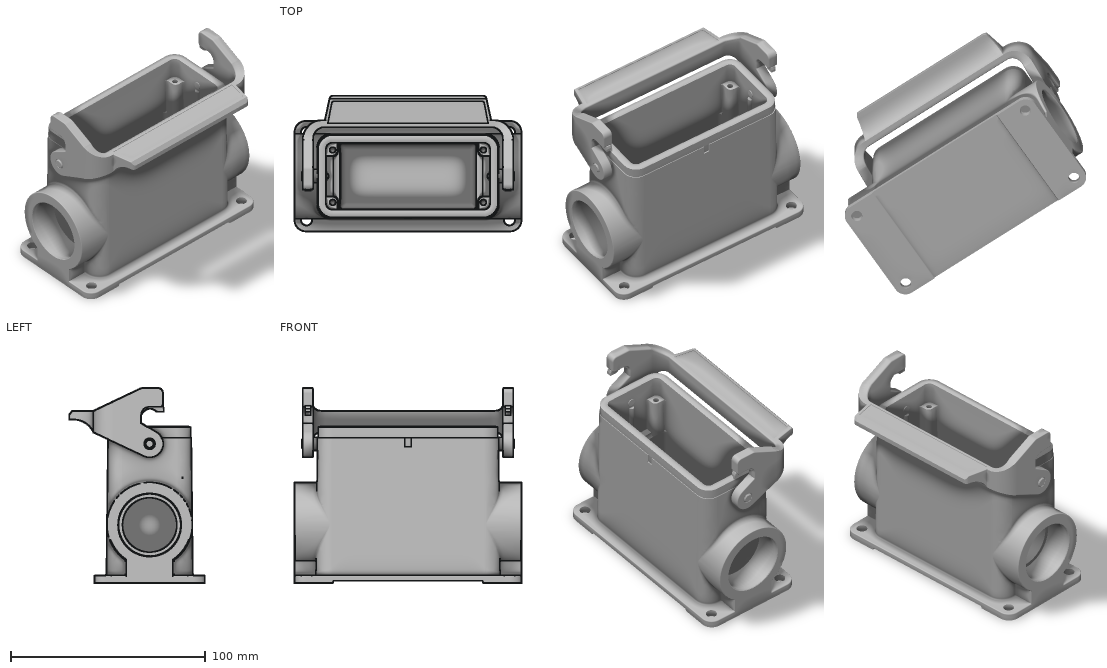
import cadquery as cq
import math

SMALL = 0.05
ROOT_FILLET = 0.8

BASE_LENGTH = 117.0
BASE_WIDTH = 57.0
BASE_HEIGHT = 4.0
BASE_CORNER_RADIUS = 6.0
BASE_EDGE_FILLET = 0.5
MOUNT_HOLE_DIAMETER = 5.6
MOUNT_HOLE_X = 52.25
MOUNT_HOLE_Y = 22.5
RELIEF_HEIGHT = 1.2
RELIEF_TOP_LENGTH = 76.6
RELIEF_BOTTOM_LENGTH = 77.6

BOX_LENGTH = 94.8
BOX_WIDTH = 44.6
BOX_CORNER_RADIUS = 8.0
BOX_DRAFT = 0.645
BOX_TOP = 75.0
RIM_LENGTH = 92.6
RIM_WIDTH = 42.4
RIM_CORNER_RADIUS = 7.3
RIM_THICKNESS = 4.0
RIM_TOP = 80.8
RIM_CROWN = 0.5
NOTCH_WIDTH = 3.2
NOTCH_BOTTOM = 70.3
NOTCH_DEPTH = 0.5

FLOOR_TOP = 8.0
FLOOR_FILLET = 2.8
LOWER_LENGTH = 69.0
LOWER_WIDTH = 32.8
LOWER_CORNER_RADIUS = 1.0
LOWER_DRAFT = -1.0
LEDGE_TOP = 48.4
LEDGE_FILLET = 3.3
UPPER_DRAFT = 0.4
POST_TOP = 68.5
POST_INNER_X = 36.4
POST_INNER_Y = 10.6
POST_DRAFT = 1.0
POST_CORNER_RADIUS = 2.7
POST_ROOT_FILLET = 1.2
POST_HOLE_X = 38.8
POST_HOLE_Y = 13.5
POST_HOLE_DIAMETER = 3.0
POST_HOLE_DEPTH = 12.0
RIB_DIAMETER = 3.0

ENTRY_AXIS_Z = 30.0
ENTRY_RADIUS = 21.95
ENTRY_EDGE_FILLET = 0.4
ENTRY_BORE_DIAMETER = 32.0
ENTRY_BORE_DEPTH = 15.0
ENTRY_BORE_CHAMFER = 0.3
OPENING_DIAMETER = 28.0
FOOT_WIDTH = 24.0

PIVOT_Z = 71.8
COLLAR_DIAMETER = 7.0
PIN_DIAMETER = 5.1
PIN_END_DIAMETER = 4.0
PIN_END_X = 54.7
PIN_INSIDE_DIAMETER = 4.0
PIN_INSIDE_X = 41.9
PIVOT_HOLE_DIAMETER = 5.6

LEVER_OUTER_X = 54.2
LEVER_INNER_X = 48.9
LEVER_BACK_Y = 28.9
LEVER_INNER_Y = 25.3
LEVER_OUTER_RADIUS = 10.1
LEVER_INNER_RADIUS = 6.2
CORNER_SECTIONS = 7
LEVER_EDGE_FILLET = 0.4
LEVER_INNER_EDGE_FILLET = 0.7
LEVER_TOP = 100.6
LEVER_NOSE_Y = -6.9
LEVER_PEAK_Y = 4.1
LEVER_PEAK_RADIUS = 3.2
LEVER_NOSE_TOP_RADIUS = 2.7
LEVER_NOSE_BOTTOM_RADIUS = 1.5
LEVER_EYE_RADIUS = 7.0
CROSSBAR_TOP = 88.8
CROSSBAR_BOTTOM = 77.6
SLOT_TOP = 90.8
SLOT_BACK_Y = 4.4
SLOT_BACK_BOTTOM = 82.5
SLOT_RADIUS = 4.2
HOOK_WIDTH = 2.7
HOOK_TIP_Y = -7.4
HOOK_TOP = 91.3
HOOK_BOTTOM = 88.3
HOOK_ROOF = 89.8

TAB_END_Y = 41.5
TAB_TIP_TOP_Y = 39.8
TAB_TIP_BOTTOM = 84.2
TAB_TIP_SLOPE_BOTTOM = 86.7
TAB_ARC_Y = 34.6
TAB_ARC_Z = 83.3
TAB_ROOT_LENGTH = 86.8
TAB_END_LENGTH = 80.2
TAB_CORNER_RADIUS = 2.0
TAB_EDGE_FILLET = 0.4
PANEL_START_Y = 27.2
PANEL_END_Y = 38.6
PANEL_MARGIN = 2.1
PANEL_CORNER_RADIUS = 1.2
PANEL_DEPTH = 0.3

SIDES = (-1, 1)


def rounded_block(length, width, radius, bottom, height, draft=0.0):
    """Upright block centred on Z with rounded corners, tapering inward by `draft` degrees."""
    outline = cq.Sketch().rect(length, width).vertices().fillet(radius)
    return cq.Workplane("XY").workplane(offset=bottom).placeSketch(outline).extrude(height, taper=draft)


def x_cylinder(diameter, x_start, x_end, axis_z):
    """Cylinder parallel to X, on the plane Y = 0."""
    plane = cq.Workplane("YZ", origin=(x_start, 0, axis_z))
    return plane.circle(diameter / 2).extrude(x_end - x_start)


def y_centred_block(x_start, x_end, width, bottom, top):
    size = (abs(x_end - x_start), width, top - bottom)
    centre = ((x_start + x_end) / 2, 0, (bottom + top) / 2)
    return cq.Workplane("XY").box(*size).translate(centre)


def eye_tangent_point(y, z, turn):
    """Point where a line from (y, z) touches the lever eye; `turn` picks the side of the eye."""
    dy = y
    dz = z - PIVOT_Z
    angle = math.atan2(dz, dy) + turn * math.acos(LEVER_EYE_RADIUS / math.hypot(dy, dz))
    return LEVER_EYE_RADIUS * math.cos(angle), PIVOT_Z + LEVER_EYE_RADIUS * math.sin(angle)


def base_flange():
    flange = rounded_block(BASE_LENGTH, BASE_WIDTH, BASE_CORNER_RADIUS, 0, BASE_HEIGHT)
    return flange.faces(">Z").edges().fillet(BASE_EDGE_FILLET)


def mounting_holes():
    places = [(sx * MOUNT_HOLE_X, sy * MOUNT_HOLE_Y) for sx in SIDES for sy in SIDES]
    return cq.Workplane("XY").pushPoints(places).circle(MOUNT_HOLE_DIAMETER / 2).extrude(BASE_HEIGHT)


def underside_relief():
    outline = cq.Workplane("XZ", origin=(0, BASE_WIDTH / 2, 0)).polyline([
        (-RELIEF_BOTTOM_LENGTH / 2, 0),
        (RELIEF_BOTTOM_LENGTH / 2, 0),
        (RELIEF_TOP_LENGTH / 2, RELIEF_HEIGHT),
        (-RELIEF_TOP_LENGTH / 2, RELIEF_HEIGHT),
    ])
    return outline.close().extrude(BASE_WIDTH)


def rim():
    """Upright band around the opening, with a slightly crowned top."""
    shoulder = RIM_TOP - RIM_CROWN
    inset = RIM_THICKNESS / 2
    path = (
        cq.Workplane("XY")
        .workplane(offset=BOX_TOP)
        .placeSketch(
            cq.Sketch().rect(RIM_LENGTH - RIM_THICKNESS, RIM_WIDTH - RIM_THICKNESS)
            .vertices().fillet(RIM_CORNER_RADIUS - inset)
        )
        .extrude(1)
        .faces("<Z").wires()
    )
    outer = RIM_WIDTH / 2
    section = (
        cq.Workplane("YZ")
        .moveTo(-outer, BOX_TOP)
        .lineTo(-outer, shoulder)
        .threePointArc((-outer + inset, RIM_TOP), (-outer + RIM_THICKNESS, shoulder))
        .lineTo(-outer + RIM_THICKNESS, BOX_TOP)
        .close()
    )
    return section.sweep(path, transition="round")


def cable_entry(side):
    """Round hub standing on a foot that reaches down to the flange."""
    face = side * BASE_LENGTH / 2
    root = side * (BOX_LENGTH / 2 - BOX_CORNER_RADIUS)
    hub = x_cylinder(2 * ENTRY_RADIUS, root, face, ENTRY_AXIS_Z)
    hub = hub.faces(">X" if side > 0 else "<X").edges().fillet(ENTRY_EDGE_FILLET)
    foot = y_centred_block(root, face, FOOT_WIDTH, 0, ENTRY_AXIS_Z - ENTRY_RADIUS / 2)
    return hub.union(foot)


def upper_cavity():
    length = RIM_LENGTH - 2 * RIM_THICKNESS
    width = RIM_WIDTH - 2 * RIM_THICKNESS
    radius = RIM_CORNER_RADIUS - RIM_THICKNESS
    mouth = rounded_block(length, width, radius, BOX_TOP, RIM_TOP - BOX_TOP)
    depth = BOX_TOP - LEDGE_TOP
    drafted = rounded_block(length, width, radius, 0, depth, UPPER_DRAFT)
    return mouth.union(drafted.rotate((0, 0, 0), (1, 0, 0), 180).translate((0, 0, BOX_TOP)))


def lower_cavity():
    depth = LEDGE_TOP - FLOOR_TOP
    pocket = rounded_block(LOWER_LENGTH, LOWER_WIDTH, LOWER_CORNER_RADIUS, FLOOR_TOP, depth, LOWER_DRAFT)
    return pocket.faces("<Z").edges().fillet(FLOOR_FILLET)


def ledge_rounding(side):
    """Material removed to round the inner edge of the ledge at one end."""
    edge_x = LOWER_LENGTH / 2 + depth_gain()
    corner = cq.Workplane("XZ", origin=(0, LOWER_WIDTH / 2, 0))
    corner = (
        corner.moveTo(side * edge_x, LEDGE_TOP)
        .lineTo(side * (edge_x + LEDGE_FILLET), LEDGE_TOP)
        .radiusArc((side * edge_x, LEDGE_TOP - LEDGE_FILLET), side * LEDGE_FILLET)
        .close()
    )
    return corner.extrude(LOWER_WIDTH)


def depth_gain():
    """How far the draft widens the lower cavity, per side, from floor to ledge."""
    return (LEDGE_TOP - FLOOR_TOP) * math.tan(math.radians(-LOWER_DRAFT))


def screw_post(side_x, side_y):
    """Drafted corner post, set into both walls, with a blind cone-bottomed screw hole."""
    bottom = LEDGE_TOP - LEDGE_FILLET
    height = POST_TOP - bottom
    spread = height * math.tan(math.radians(POST_DRAFT))
    outer_x = (RIM_LENGTH - RIM_THICKNESS) / 2
    outer_y = (RIM_WIDTH - RIM_THICKNESS) / 2
    post = rounded_block(
        outer_x - POST_INNER_X + 2 * spread, outer_y - POST_INNER_Y + 2 * spread,
        POST_CORNER_RADIUS, bottom, height, POST_DRAFT,
    )
    centre_x = side_x * (outer_x + POST_INNER_X) / 2
    centre_y = side_y * (outer_y + POST_INNER_Y) / 2
    radius = POST_HOLE_DIAMETER / 2
    hole = (
        cq.Workplane("XZ", origin=(side_x * POST_HOLE_X, side_y * POST_HOLE_Y, POST_TOP))
        .polyline([(0, 0), (radius, 0), (radius, -POST_HOLE_DEPTH), (0, -POST_HOLE_DEPTH - radius)])
        .close().revolve(360, (0, 0, 0), (0, 1, 0))
    )
    return post.translate((centre_x, centre_y, 0)).cut(hole)


def root_flare(corner_x, corner_y, along_x, along_y):
    """Concave upright strip in a wall corner; `along_x` and `along_y` point into the cavity."""
    bottom = LEDGE_TOP - LEDGE_FILLET
    size = 2 * POST_ROOT_FILLET
    block = cq.Workplane("XY", origin=(corner_x, corner_y, bottom)).rect(size, size)
    centre = (corner_x + along_x * POST_ROOT_FILLET, corner_y + along_y * POST_ROOT_FILLET, bottom)
    round_cut = cq.Workplane("XY", origin=centre).circle(POST_ROOT_FILLET)
    height = POST_TOP - bottom
    return block.extrude(height).cut(round_cut.extrude(height))


def end_rib(side):
    """Half-round upright rib on the inner end wall, below the pivot."""
    wall_x = side * (RIM_LENGTH / 2 - RIM_THICKNESS)
    foot = cq.Workplane("XY", origin=(wall_x, 0, LEDGE_TOP))
    return foot.circle(RIB_DIAMETER / 2).extrude(POST_TOP - LEDGE_TOP)


def pivot_pin(side):
    """Collar, journal and conical end for the lever, with a disc left on the inner wall."""
    collar_start = RIM_LENGTH / 2 - RIM_THICKNESS / 2
    disc = x_cylinder(PIN_INSIDE_DIAMETER, PIN_INSIDE_X, collar_start, PIVOT_Z)
    collar = x_cylinder(COLLAR_DIAMETER, collar_start, LEVER_INNER_X, PIVOT_Z)
    journal = x_cylinder(PIN_DIAMETER, collar_start, PIN_END_X, PIVOT_Z)
    journal = journal.faces(">X").chamfer((PIN_DIAMETER - PIN_END_DIAMETER) / 2)
    pin = disc.union(collar).union(journal)
    return pin if side > 0 else pin.mirror("YZ")


def witness_notch():
    """Shallow notch in the front wall, just under the rim."""
    wall_y = -BOX_WIDTH / 2 + (BOX_TOP - BASE_HEIGHT) * math.tan(math.radians(BOX_DRAFT))
    return cq.Workplane("XY", origin=(0, wall_y, NOTCH_BOTTOM)).box(
        NOTCH_WIDTH, 2 * NOTCH_DEPTH, BOX_TOP - NOTCH_BOTTOM, centered=(True, True, False)
    )


def is_entry_root(edge):
    """True for the edges where the entries and their feet grow out of the box."""
    centre = edge.Center()
    reach = BOX_LENGTH / 2 - BOX_CORNER_RADIUS / 2
    near_wall = reach < abs(centre.x) < BOX_LENGTH / 2 + ROOT_FILLET
    below_rim = BASE_HEIGHT + BASE_EDGE_FILLET < centre.z < BOX_TOP - SMALL
    on_foot = abs(abs(centre.y) - FOOT_WIDTH / 2) < SMALL
    return near_wall and below_rim and (on_foot or edge.geomType() != "LINE")


def is_box_root(edge):
    """True for the edges where the box stands on the flange."""
    bounds = edge.BoundingBox()
    level = abs(bounds.zmin - BASE_HEIGHT) < SMALL and abs(bounds.zmax - BASE_HEIGHT) < SMALL
    inside_x = max(-bounds.xmin, bounds.xmax) < BOX_LENGTH / 2 + SMALL
    inside_y = max(-bounds.ymin, bounds.ymax) < BOX_WIDTH / 2 + SMALL
    return level and inside_x and inside_y


def outer_body():
    """Solid outside form: drafted box, cable entries and flange."""
    body = rounded_block(
        BOX_LENGTH, BOX_WIDTH, BOX_CORNER_RADIUS, BASE_HEIGHT, BOX_TOP - BASE_HEIGHT, BOX_DRAFT
    )
    for side in SIDES:
        body = body.union(cable_entry(side))
    body = body.union(base_flange())
    return body.edges().filter(lambda edge: is_entry_root(edge) or is_box_root(edge)).fillet(ROOT_FILLET)


def build_housing():
    cavity_x = RIM_LENGTH / 2 - RIM_THICKNESS
    cavity_y = RIM_WIDTH / 2 - RIM_THICKNESS
    body = outer_body()
    body = body.cut(upper_cavity()).union(rim()).cut(lower_cavity())
    for side in SIDES:
        body = body.cut(ledge_rounding(side))
        for side_y in SIDES:
            body = body.union(screw_post(side, side_y))
            for flare_x, flare_y in ((POST_INNER_X, cavity_y), (cavity_x, POST_INNER_Y)):
                body = body.union(root_flare(side * flare_x, side_y * flare_y, -side, -side_y))
    for side in SIDES:
        body = body.union(end_rib(side)).union(pivot_pin(side))
        face = side * BASE_LENGTH / 2
        bore_end = face - side * ENTRY_BORE_DEPTH
        body = body.cut(x_cylinder(ENTRY_BORE_DIAMETER, face, bore_end, ENTRY_AXIS_Z))
        mouth = cq.selectors.RadiusNthSelector(0)
        body = body.faces(">X" if side > 0 else "<X").edges(mouth).chamfer(ENTRY_BORE_CHAMFER)
    opening_end = -LOWER_LENGTH / 2 + LOWER_CORNER_RADIUS
    body = body.cut(x_cylinder(OPENING_DIAMETER, -BASE_LENGTH / 2, opening_end, ENTRY_AXIS_Z))
    return body.cut(underside_relief()).cut(mounting_holes()).cut(witness_notch())


def lever_side_outline():
    """Outline of the lever seen along X, as a solid spanning the lever's full length."""
    upper_y, upper_z = eye_tangent_point(SLOT_BACK_Y, SLOT_BACK_BOTTOM, 1)
    lower_y, lower_z = eye_tangent_point(LEVER_BACK_Y, CROSSBAR_BOTTOM, -1)
    profile = (
        cq.Workplane("YZ", origin=(-LEVER_OUTER_X, 0, 0))
        .moveTo(LEVER_BACK_Y, CROSSBAR_BOTTOM)
        .lineTo(LEVER_BACK_Y, CROSSBAR_TOP)
        .lineTo(LEVER_PEAK_Y, LEVER_TOP)
        .lineTo(LEVER_NOSE_Y + LEVER_NOSE_TOP_RADIUS, LEVER_TOP)
        .radiusArc((LEVER_NOSE_Y, LEVER_TOP - LEVER_NOSE_TOP_RADIUS), -LEVER_NOSE_TOP_RADIUS)
        .lineTo(LEVER_NOSE_Y, SLOT_TOP + LEVER_NOSE_BOTTOM_RADIUS)
        .radiusArc((LEVER_NOSE_Y + LEVER_NOSE_BOTTOM_RADIUS, SLOT_TOP), -LEVER_NOSE_BOTTOM_RADIUS)
        .lineTo(SLOT_BACK_Y - SLOT_RADIUS, SLOT_TOP)
        .radiusArc((SLOT_BACK_Y, SLOT_TOP - SLOT_RADIUS), SLOT_RADIUS)
        .lineTo(SLOT_BACK_Y, SLOT_BACK_BOTTOM)
        .lineTo(upper_y, upper_z)
        .threePointArc((-LEVER_EYE_RADIUS, PIVOT_Z), (lower_y, lower_z))
        .close()
    )
    peak = cq.selectors.NearestToPointSelector((0, LEVER_PEAK_Y, LEVER_TOP))
    return profile.extrude(2 * LEVER_OUTER_X).edges("|X").edges(peak).fillet(LEVER_PEAK_RADIUS)


def lever_plan(half_length, back_y, radius):
    """Tall block open toward -Y, with its two back corners rounded."""
    front_y = -2 * LEVER_EYE_RADIUS
    size = (2 * half_length, back_y - front_y, LEVER_TOP)
    block = cq.Workplane("XY").box(*size, centered=(True, False, False)).translate((0, front_y, 0))
    return block.edges("|Z and >Y").fillet(radius)


def slope_height(y, start, end):
    """Height at `y` on the straight line through the (y, z) points `start` and `end`."""
    return start[1] + (end[1] - start[1]) * (y - start[0]) / (end[0] - start[0])


def lever_corner(side):
    """Wedge around one back corner, level along each radius and falling from arm to crossbar."""
    centre_x = LEVER_OUTER_X - LEVER_OUTER_RADIUS
    centre_y = LEVER_BACK_Y - LEVER_OUTER_RADIUS
    near = 1.0
    far = 2 * LEVER_OUTER_RADIUS
    top_line = (LEVER_PEAK_Y, LEVER_TOP), (LEVER_BACK_Y, CROSSBAR_TOP)
    eye_point = eye_tangent_point(LEVER_BACK_Y, CROSSBAR_BOTTOM, -1)
    bottom_line = eye_point, (LEVER_BACK_Y, CROSSBAR_BOTTOM)
    sections = []
    for step in range(CORNER_SECTIONS):
        angle = math.pi / 2 * step / (CORNER_SECTIONS - 1)
        along_x = math.cos(angle)
        along_y = math.sin(angle)
        outer_y = centre_y + LEVER_OUTER_RADIUS * along_y
        top = slope_height(outer_y, *top_line)
        bottom = slope_height(outer_y, *bottom_line)
        corners = [(near, bottom), (far, bottom), (far, top), (near, top)]
        points = [
            cq.Vector(side * (centre_x + radius * along_x), centre_y + radius * along_y, z)
            for radius, z in corners
        ]
        sections.append(cq.Wire.makePolygon(points, close=True))
    return cq.Workplane(cq.Solid.makeLoft(sections))


def lever_bow():
    """Two arms joined by a crossbar through rounded corners."""
    corner_x = LEVER_OUTER_X - LEVER_OUTER_RADIUS
    corner_y = LEVER_BACK_Y - LEVER_OUTER_RADIUS
    arm_zone = cq.Workplane("XY").box(
        2 * LEVER_OUTER_X, 2 * corner_y, LEVER_TOP, centered=(True, True, False)
    )
    solid = lever_side_outline().intersect(arm_zone)
    crossbar = cq.Workplane("XY", origin=(0, corner_y, CROSSBAR_BOTTOM)).box(
        2 * corner_x, LEVER_OUTER_RADIUS, CROSSBAR_TOP - CROSSBAR_BOTTOM, centered=(True, False, False)
    )
    solid = solid.union(crossbar)
    for side in SIDES:
        solid = solid.union(lever_corner(side))
    outer = lever_plan(LEVER_OUTER_X, LEVER_BACK_Y, LEVER_OUTER_RADIUS)
    inner = lever_plan(LEVER_INNER_X, LEVER_INNER_Y, LEVER_INNER_RADIUS)
    bow = solid.intersect(outer.cut(inner))
    bow = bow.faces("<X or >X").edges("not |Z").fillet(LEVER_EDGE_FILLET)
    inner_faces = cq.selectors.BoxSelector(
        (-LEVER_INNER_X - SMALL, -LEVER_BACK_Y, 0), (LEVER_INNER_X + SMALL, LEVER_INNER_Y, LEVER_TOP)
    )
    return bow.faces(inner_faces).edges("not |Z").fillet(LEVER_INNER_EDGE_FILLET)


def tab_plan(start_y, end_y, start_length, end_length, radius, bottom, top):
    """Trapezoidal plate narrowing toward +Y, with its two far corners rounded."""
    plate = (
        cq.Workplane("XY", origin=(0, 0, bottom))
        .polyline([
            (-start_length / 2, start_y), (start_length / 2, start_y),
            (end_length / 2, end_y), (-end_length / 2, end_y),
        ])
        .close().extrude(top - bottom)
    )
    return plate.edges("|Z").edges(">Y").fillet(radius)


def grip_tab():
    profile = (
        cq.Workplane("YZ", origin=(-LEVER_OUTER_X, 0, 0))
        .moveTo(LEVER_INNER_Y + 1, CROSSBAR_TOP)
        .lineTo(TAB_TIP_TOP_Y, CROSSBAR_TOP)
        .lineTo(TAB_END_Y, TAB_TIP_SLOPE_BOTTOM)
        .lineTo(TAB_END_Y, TAB_TIP_BOTTOM)
        .lineTo(TAB_TIP_TOP_Y, TAB_TIP_BOTTOM)
        .threePointArc((TAB_ARC_Y, TAB_ARC_Z), (LEVER_BACK_Y, CROSSBAR_BOTTOM))
        .lineTo(LEVER_INNER_Y + 1, CROSSBAR_BOTTOM)
        .close()
        .extrude(2 * LEVER_OUTER_X)
    )
    plan = tab_plan(
        LEVER_INNER_Y + 1, TAB_END_Y, TAB_ROOT_LENGTH, TAB_END_LENGTH,
        TAB_CORNER_RADIUS, CROSSBAR_BOTTOM, CROSSBAR_TOP,
    )
    plan = plan.faces(">Z").edges("not <Y").fillet(TAB_EDGE_FILLET)
    return profile.intersect(plan)


def tab_panel():
    """Shallow panel sunk into the top of the grip tab."""
    return tab_plan(
        PANEL_START_Y, PANEL_END_Y,
        TAB_ROOT_LENGTH - 2 * PANEL_MARGIN, TAB_END_LENGTH - PANEL_MARGIN,
        PANEL_CORNER_RADIUS, CROSSBAR_TOP - PANEL_DEPTH, CROSSBAR_TOP,
    )


def hook_rib(side):
    """Narrow catch under the lever nose, running back into the slot's rounded corner."""
    centre_x = side * (LEVER_OUTER_X + LEVER_INNER_X) / 2
    profile = (
        cq.Workplane("YZ", origin=(centre_x, 0, 0))
        .moveTo(LEVER_NOSE_Y + LEVER_NOSE_BOTTOM_RADIUS, HOOK_TOP)
        .lineTo(LEVER_NOSE_Y, HOOK_TOP)
        .lineTo(HOOK_TIP_Y, HOOK_ROOF)
        .lineTo(HOOK_TIP_Y, HOOK_BOTTOM)
        .lineTo(HOOK_TIP_Y / 2, HOOK_BOTTOM)
        .spline([(0, HOOK_ROOF), (SLOT_BACK_Y, SLOT_TOP - SLOT_RADIUS)], includeCurrent=True)
        .lineTo(SLOT_BACK_Y, HOOK_TOP)
        .close()
    )
    return profile.extrude(HOOK_WIDTH / 2, both=True)


def build_lever():
    lever = lever_bow()
    lever = lever.union(grip_tab()).cut(tab_panel())
    for side in SIDES:
        lever = lever.union(hook_rib(side))
    return lever.cut(x_cylinder(PIVOT_HOLE_DIAMETER, -LEVER_OUTER_X, LEVER_OUTER_X, PIVOT_Z))


housing = build_housing()
lever = build_lever()
result = cq.Compound.makeCompound([housing.val(), lever.val()])